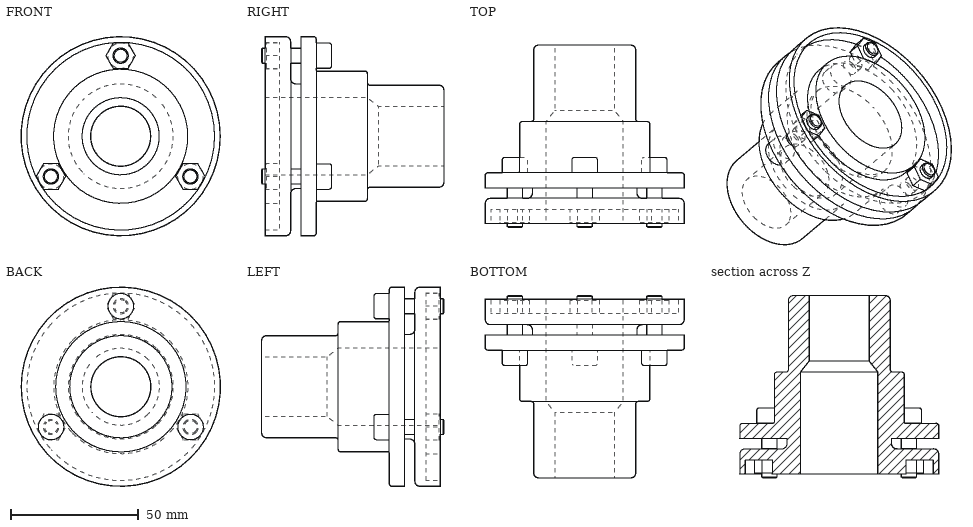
import cadquery as cq
import math


flange_diameter = 78.0
body_length = 70.0
neck_diameter = 41.0

major_edge_radius = 2.0
minor_edge_radius = 1.0
hub_root_radius = 0.55

front_flange_width = 10.0
recess_depth = 5.5
recess_diameter = 73.5
boss_diameter = 52.5

flange_gap = 4.0
rear_flange_width = 6.0
rear_flange_start = front_flange_width + flange_gap
rear_flange_end = rear_flange_start + rear_flange_width

hub_diameter = 51.0
hub_end = 40.0
spigot_diameter = 40.0

bore_front_diameter = 30.2
bore_rear_diameter = 23.4
bore_front_depth = hub_end
bore_taper_length = 4.3

bolt_count = 3
bolt_circle_radius = 31.5
bolt_diameter = 6.0
bolt_tip_projection = 1.5
bolt_tip_chamfer = 0.5
head_diameter = 10.0
head_height = 6.0
nut_across_flats = 10.0
nut_height = 5.0


def disc(diameter, start, end):
    """Solid cylinder along Y between two Y positions."""
    plane = cq.Workplane("XZ", origin=(0, start, 0))
    return plane.circle(diameter / 2).extrude(start - end)


def rounded_disc(diameter, start, end, radius):
    """Cylinder along Y with its rear edge rounded."""
    return disc(diameter, start, end).faces(">Y").edges().fillet(radius)


def fillet_root(body, diameter, position, radius):
    """Round the inside corner where a cylinder of this diameter meets a face at this Y position."""
    margin = 0.1
    reach = diameter / 2 + margin
    corner = cq.selectors.BoxSelector(
        (-reach, position - margin, -reach),
        (reach, position + margin, reach),
        boundingbox=True,
    )
    return body.edges(corner).fillet(radius)


def flange_body():
    front_flange = rounded_disc(flange_diameter, 0, front_flange_width, major_edge_radius)
    neck = disc(neck_diameter, 0, rear_flange_start)
    rear_flange = rounded_disc(flange_diameter, rear_flange_start, rear_flange_end, minor_edge_radius)
    hub = rounded_disc(hub_diameter, rear_flange_start, hub_end, minor_edge_radius)
    spigot = rounded_disc(spigot_diameter, rear_flange_start, body_length, major_edge_radius)
    body = front_flange.union(neck).union(rear_flange).union(hub).union(spigot)
    body = fillet_root(body, neck_diameter, front_flange_width, major_edge_radius)
    body = fillet_root(body, hub_diameter, rear_flange_end, hub_root_radius)
    return fillet_root(body, spigot_diameter, hub_end, minor_edge_radius)


def front_recess():
    return disc(recess_diameter, 0, recess_depth).cut(disc(boss_diameter, 0, recess_depth))


def bore():
    profile = [
        (0, 0),
        (bore_front_diameter / 2, 0),
        (bore_front_diameter / 2, bore_front_depth),
        (bore_rear_diameter / 2, bore_front_depth + bore_taper_length),
        (bore_rear_diameter / 2, body_length),
        (0, body_length),
    ]
    return cq.Workplane("XY").polyline(profile).close().revolve(360, (0, 0), (0, 1))


def bolt_with_nut():
    """Bolt and nut on the Y axis, with the nut seated on the recess floor."""
    shank = disc(bolt_diameter, -bolt_tip_projection, rear_flange_end)
    shank = shank.faces("<Y").edges().chamfer(bolt_tip_chamfer)
    head = disc(head_diameter, rear_flange_start, rear_flange_end + head_height)
    head = head.faces(">Y").edges().fillet(minor_edge_radius)
    across_corners = nut_across_flats / math.cos(math.pi / 6)
    nut = cq.Workplane("XZ", origin=(0, recess_depth, 0)).polygon(6, across_corners).extrude(nut_height)
    return shank.union(head).union(nut)


result = flange_body().cut(front_recess()).cut(bore())

bolt = bolt_with_nut()
for index in range(bolt_count):
    angle = math.pi / 2 + index * 2 * math.pi / bolt_count
    offset = (bolt_circle_radius * math.cos(angle), 0, bolt_circle_radius * math.sin(angle))
    result = result.union(bolt.translate(offset))